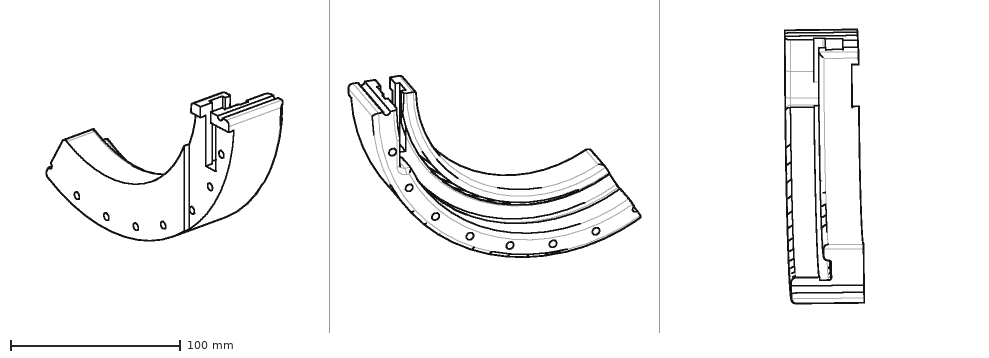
import cadquery as cq
import math

outer_radius = 113.0
inner_radius = 78.1
depth = 43.0
sweep = 120
edge_round = 2.9

bore_radius = 97.6
rib_depth = 23.5
groove_inner_radius = 87.7
groove_outer_radius = 99.3
groove_front = 19.2
groove_back = 26.1
groove_round = 1.5
rib_round = 2.5

hole_circle_radius = 104.7
hole_diameter = 4.5
hole_pitch = 15
hole_count = 7
locating_groove_diameter = 4.2

slot_left = 86.7
slot_right = 96.0
back_slot_right = 95.6
slot_depth = 40.2
t_left = 84.0
t_right = 98.3
t_front = 9.1
t_back = groove_front
slot_floor_round = 3.0

step_left = 71.5
step_top = -7.0
step_depth = 4.0

tolerance = 0.002


def revolved(profile):
    """Sweep an (r, y) profile down and round from the upper end."""
    return profile.close().revolve(sweep, (0, 0, 0), (0, 1, 0))


def block(left, right, front, back, bottom, top):
    size = (right - left, back - front, top - bottom)
    return cq.Workplane("XY").box(*size, centered=False).translate((left, front, bottom))


def at_angle(radius, degrees):
    """Point on a circle about the ring axis, measured down from +X."""
    angle = math.radians(degrees)
    return radius * math.cos(angle), -radius * math.sin(angle)


def cylinder_along_y(center, radius):
    x, z = center
    return cq.Workplane("XZ", origin=(x, 0, z)).circle(radius).extrude(-depth)


def ring_body():
    profile = (
        cq.Workplane("XY")
        .moveTo(inner_radius, 0)
        .lineTo(outer_radius, 0)
        .lineTo(outer_radius, depth)
        .lineTo(inner_radius, depth)
    )
    return revolved(profile).edges("|Y").fillet(edge_round)


def outer_back_waste():
    """Waste outside the rounded outer edge of the back face."""
    profile = (
        cq.Workplane("XY")
        .moveTo(outer_radius, depth - edge_round)
        .radiusArc((outer_radius - edge_round, depth), -edge_round)
        .lineTo(outer_radius, depth)
    )
    return revolved(profile)


def round_inner_back_edges(body):
    """Round the back face along the bore and slot, but not at its two ends."""
    end_normal = at_angle(1, sweep + 90)

    def on_end_face(edge):
        middle = edge.Center()
        lower_end_distance = middle.x * end_normal[0] + middle.z * end_normal[1]
        return edge.geomType() == "LINE" and (
            abs(middle.z) < tolerance or abs(lower_end_distance) < tolerance
        )

    def on_inner_boundary(edge):
        start = edge.startPoint()
        near_bore = math.hypot(start.x, start.z) < bore_radius + tolerance
        return near_bore and not on_end_face(edge)

    edges = body.faces(">Y").edges().filter(on_inner_boundary)
    return body.newObject(edges.vals()).fillet(edge_round)


def bore_and_groove():
    """Waste behind the rib: rounded rib edge, groove and wide bore."""
    clear_radius = inner_radius - edge_round
    profile = (
        cq.Workplane("XY")
        .moveTo(clear_radius, rib_depth - edge_round)
        .lineTo(inner_radius, rib_depth - edge_round)
        .radiusArc((inner_radius + edge_round, rib_depth), edge_round)
        .lineTo(groove_inner_radius - rib_round, rib_depth)
        .radiusArc((groove_inner_radius, rib_depth - rib_round), rib_round)
        .lineTo(groove_inner_radius, groove_front + groove_round)
        .radiusArc((groove_inner_radius + groove_round, groove_front), -groove_round)
        .lineTo(groove_outer_radius - groove_round, groove_front)
        .radiusArc((groove_outer_radius, groove_front + groove_round), -groove_round)
        .lineTo(groove_outer_radius, groove_back)
        .lineTo(bore_radius, groove_back)
        .lineTo(bore_radius, depth)
        .lineTo(clear_radius, depth)
    )
    return revolved(profile)


def t_slot():
    front = block(slot_left, slot_right, 0, t_front, -slot_depth, 0)
    middle = block(t_left, t_right, t_front, t_back, -slot_depth, 0)
    back = block(slot_left, back_slot_right, t_back, depth, -slot_depth, 0)
    middle = middle.edges("|Y and >X and <Z").fillet(slot_floor_round)
    back = back.edges("|Y and >X and <Z").fillet(slot_floor_round)
    return front.union(middle).union(back)


result = ring_body().cut(bore_and_groove()).cut(t_slot())
result = round_inner_back_edges(result).cut(outer_back_waste())
result = result.cut(block(step_left, outer_radius, 0, step_depth, -outer_radius, step_top))

for index in range(1, hole_count + 1):
    hole_center = at_angle(hole_circle_radius, index * hole_pitch)
    result = result.cut(cylinder_along_y(hole_center, hole_diameter / 2))

for end_angle in (0, sweep):
    groove_center = at_angle(hole_circle_radius, end_angle)
    result = result.cut(cylinder_along_y(groove_center, locating_groove_diameter / 2))